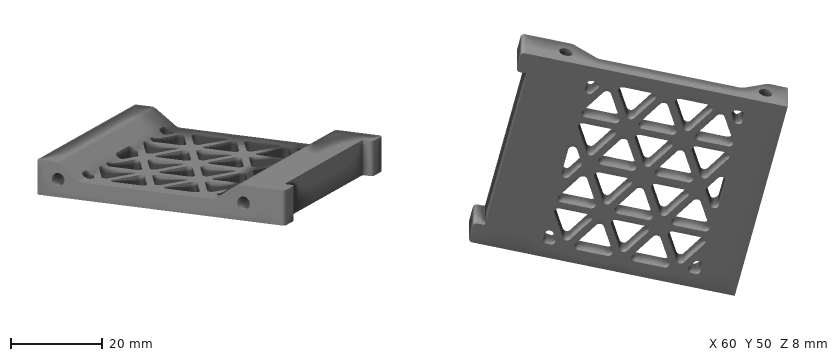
import cadquery as cq
import math

LENGTH = 60.0
WIDTH = 50.0
HEIGHT = 8.0

FLOOR_HEIGHT = 4.0
RECESS_CENTER_X = 26.5
FLOOR_HALF_LENGTH = 16.25
RECESS_TOP_HALF_LENGTH = 22.0
RAMP_BLEND_RADIUS = 2.0

PIN_DIAMETER = 3.0
PIN_XS = (5.0, 50.0)
PIN_Z = HEIGHT / 2

NOTCH_DEPTH = 2.5
EAR_WIDTH = 5.0
EAR_RADIUS = 0.8
NOTCH_CORNER_RADIUS = 0.3

TRIANGLE_SIDE = 10.0
TRIANGLE_SLOPE = math.tan(math.radians(60))
TRIANGLE_HEIGHT = TRIANGLE_SIDE * TRIANGLE_SLOPE / 2
CELL_RADIUS = 1.0
COLUMN_PITCH = 6.4
EVEN_COLUMNS = (-2, 0, 2)
ODD_COLUMNS = (-1, 1)
CROPPED_COLUMN = 3
INNER_ROW_BASE_Y = 1.0
INNER_ROW_TOP_Y = 10.45
OUTER_ROW_BASE_Y = 12.05
OUTER_ROW_TOP_Y = 21.5

CROP_HALF_LENGTH = 17.75
SIDE_CELL_TIP_HALF_LENGTH = 13.8


def make_body():
    """Block with a recess whose ramps blend into the floor and the top."""
    left_top = RECESS_CENTER_X - RECESS_TOP_HALF_LENGTH
    left_floor = RECESS_CENTER_X - FLOOR_HALF_LENGTH
    right_floor = RECESS_CENTER_X + FLOOR_HALF_LENGTH
    right_top = RECESS_CENTER_X + RECESS_TOP_HALF_LENGTH
    body = (
        cq.Workplane("XZ", origin=(0, WIDTH / 2, 0))
        .polyline([
            (0, 0),
            (LENGTH, 0),
            (LENGTH, HEIGHT),
            (right_top, HEIGHT),
            (right_floor, FLOOR_HEIGHT),
            (left_floor, FLOOR_HEIGHT),
            (left_top, HEIGHT),
            (0, HEIGHT),
        ])
        .close()
        .extrude(WIDTH)
    )
    margin = min(left_top, FLOOR_HEIGHT) / 2
    ramp_ends = cq.selectors.BoxSelector(
        (left_top - margin, -WIDTH, FLOOR_HEIGHT - margin),
        (right_top + margin, WIDTH, HEIGHT + margin),
    )
    return body.edges("|Y").edges(ramp_ends).fillet(RAMP_BLEND_RADIUS)


def cut_pin_holes(body):
    """Through holes along Y, one in each raised side."""
    pins = (
        cq.Workplane("XZ", origin=(0, WIDTH / 2, 0))
        .pushPoints([(x, PIN_Z) for x in PIN_XS])
        .circle(PIN_DIAMETER / 2)
        .extrude(WIDTH)
    )
    return body.cut(pins)


def cut_end_notch(body):
    """Full-height notch in the +X end, with the outer ear corners rounded."""
    notch_width = WIDTH - 2 * EAR_WIDTH
    notch = (
        cq.Workplane("XY")
        .box(NOTCH_DEPTH, notch_width, HEIGHT, centered=(False, True, False))
        .translate((LENGTH - NOTCH_DEPTH, 0, 0))
        .edges("|Z and <X")
        .fillet(NOTCH_CORNER_RADIUS)
    )
    return body.cut(notch).edges("|Z and >X").fillet(EAR_RADIUS)


def make_cell(points):
    """Prism through the full height with rounded vertical edges."""
    return (
        cq.Workplane("XY")
        .polyline(points)
        .close()
        .extrude(HEIGHT)
        .edges("|Z")
        .fillet(CELL_RADIUS)
    )


def make_triangle(x, base_y, direction):
    """Triangle with its base at base_y and its apex toward direction (+1 or -1) in Y."""
    return make_cell([
        (x - TRIANGLE_SIDE / 2, base_y),
        (x + TRIANGLE_SIDE / 2, base_y),
        (x, base_y + direction * TRIANGLE_HEIGHT),
    ])


def make_corner_cell(side, half):
    """Outer-row triangle cropped by a straight wall; side and half are the signs in X and Y."""
    wall_x = RECESS_CENTER_X + side * CROP_HALF_LENGTH
    tip_x = RECESS_CENTER_X + side * (CROPPED_COLUMN * COLUMN_PITCH - TRIANGLE_SIDE / 2)
    wall_length = abs(wall_x - tip_x) * TRIANGLE_SLOPE
    return make_cell([
        (wall_x, half * OUTER_ROW_TOP_Y),
        (tip_x, half * OUTER_ROW_TOP_Y),
        (wall_x, half * (OUTER_ROW_TOP_Y - wall_length)),
    ])


def make_side_cell(side):
    """Cropped diamond on the center line, pointing toward the lattice."""
    wall_x = RECESS_CENTER_X + side * CROP_HALF_LENGTH
    tip_x = RECESS_CENTER_X + side * SIDE_CELL_TIP_HALF_LENGTH
    half_width = abs(wall_x - tip_x) * TRIANGLE_SLOPE
    return make_cell([(wall_x, half_width), (tip_x, 0), (wall_x, -half_width)])


def cut_lattice(body):
    """Rows of alternating triangles, closed off by cropped cells at both ramps."""
    for half in (1, -1):
        for column in EVEN_COLUMNS:
            x = RECESS_CENTER_X + column * COLUMN_PITCH
            body = body.cut(make_triangle(x, half * INNER_ROW_TOP_Y, -half))
            body = body.cut(make_triangle(x, half * OUTER_ROW_BASE_Y, half))
        for column in ODD_COLUMNS:
            x = RECESS_CENTER_X + column * COLUMN_PITCH
            body = body.cut(make_triangle(x, half * INNER_ROW_BASE_Y, half))
            body = body.cut(make_triangle(x, half * OUTER_ROW_TOP_Y, -half))
    for side in (1, -1):
        body = body.cut(make_side_cell(side))
        for half in (1, -1):
            body = body.cut(make_corner_cell(side, half))
    return body


part = make_body()
part = cut_pin_holes(part)
part = cut_end_notch(part)
result = cut_lattice(part)